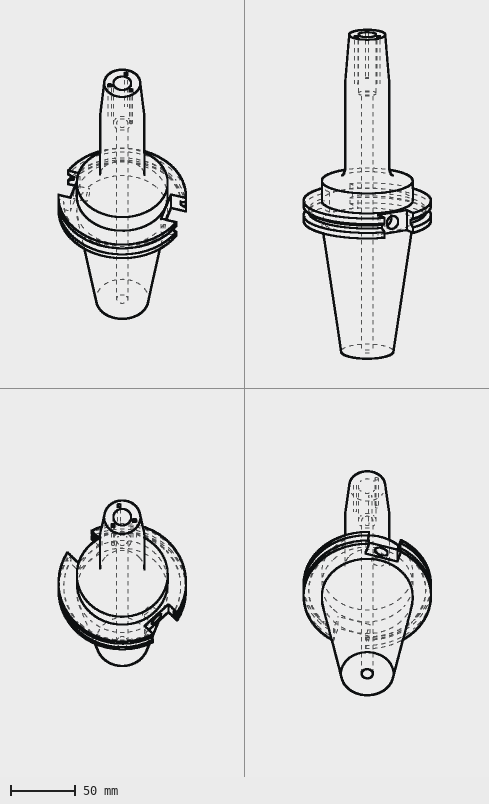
import cadquery as cq
import math

total_height = 254.0

gauge_radius = 35.0
taper_rate = 7 / 24
gauge_height = 101.5
shank_end_radius = gauge_radius - gauge_height * taper_rate / 2
collar_height = 3.3

flange_diameter = 98.3
flange_radius = flange_diameter / 2
flange_thickness = 16.0
flange_bottom = gauge_height + collar_height
flange_top = flange_bottom + flange_thickness
flange_middle = flange_bottom + flange_thickness / 2
groove_width = 7.0
groove_depth = 4.0
groove_flank_angle = math.radians(30)
groove_half_width = groove_width / 2
groove_floor_half_width = groove_half_width - groove_depth * math.tan(groove_flank_angle)
groove_floor_radius = flange_radius - groove_depth

hub_height = 16.0
hub_top = flange_top + hub_height
neck_radius = 17.0
neck_fillet = 10.0
nose_length = 37.5
nose_bottom = total_height - nose_length
nose_radius = 14.0

slot_width = 25.7
left_slot_floor = 37.8
right_slot_floor = 35.3
slot_hole_radius = 5.0
slot_hole_depth = 10.2

through_radius = 4.3
bore_radius = 6.9
bore_depth = 47.0
coolant_count = 3
coolant_radius = 1.3
coolant_circle_radius = 10.0
coolant_depth = 37.5


def make_body():
    """Revolve the half profile, drawn as radius and height, about Z."""
    fillet_center_radius = neck_radius + neck_fillet
    fillet_center_height = hub_top + neck_fillet
    fillet_reach = neck_fillet * math.sqrt(0.5)
    fillet_middle = (fillet_center_radius - fillet_reach, fillet_center_height - fillet_reach)
    return (
        cq.Workplane("XZ")
        .lineTo(shank_end_radius, 0)
        .lineTo(gauge_radius, gauge_height)
        .lineTo(gauge_radius, flange_bottom)
        .lineTo(flange_radius, flange_bottom)
        .lineTo(flange_radius, flange_middle - groove_half_width)
        .lineTo(groove_floor_radius, flange_middle - groove_floor_half_width)
        .lineTo(groove_floor_radius, flange_middle + groove_floor_half_width)
        .lineTo(flange_radius, flange_middle + groove_half_width)
        .lineTo(flange_radius, flange_top)
        .lineTo(gauge_radius, flange_top)
        .lineTo(gauge_radius, hub_top)
        .lineTo(fillet_center_radius, hub_top)
        .threePointArc(fillet_middle, (neck_radius, fillet_center_height))
        .lineTo(neck_radius, nose_bottom)
        .lineTo(nose_radius, total_height)
        .lineTo(0, total_height)
        .close()
        .revolve(360, (0, 0, 0), (0, 1, 0))
    )


def make_slot(floor, side):
    """Cutter for a drive slot; side is -1 for -X and +1 for +X."""
    return (
        cq.Workplane("XY", origin=(side * (floor + flange_radius / 2), 0, flange_middle))
        .box(flange_radius, slot_width, flange_thickness)
    )


def make_slot_hole():
    """Cutter for the blind round hole in the floor of the -X slot."""
    return (
        cq.Workplane("YZ", origin=(-left_slot_floor, 0, flange_middle))
        .circle(slot_hole_radius)
        .extrude(slot_hole_depth)
    )


def make_bore():
    """Cutter for the through passage, widened at the nose."""
    passage = cq.Workplane("XY").circle(through_radius).extrude(total_height)
    nose_bore = cq.Workplane("XY", origin=(0, 0, total_height)).circle(bore_radius).extrude(-bore_depth)
    return passage.union(nose_bore)


def make_coolant_holes():
    """Cutter for the blind holes spaced evenly around the bore, starting on +Y."""
    return (
        cq.Workplane("XY", origin=(0, 0, total_height))
        .polarArray(coolant_circle_radius, 90, 360, coolant_count)
        .circle(coolant_radius)
        .extrude(-coolant_depth)
    )


result = (
    make_body()
    .cut(make_slot(left_slot_floor, -1))
    .cut(make_slot(right_slot_floor, 1))
    .cut(make_slot_hole())
    .cut(make_bore())
    .cut(make_coolant_holes())
)